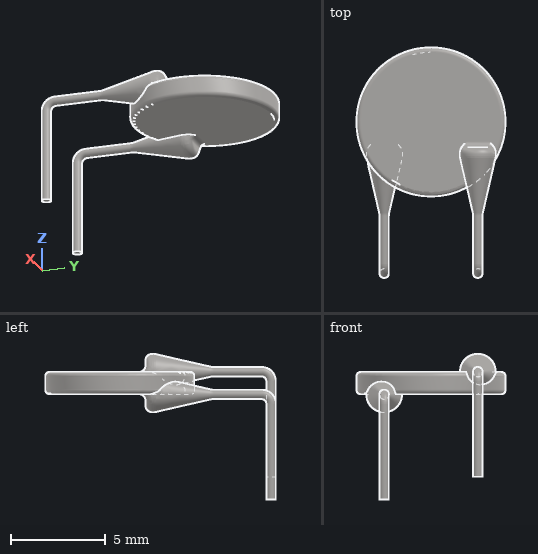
import cadquery as cq

disc_diameter = 7.9
disc_thickness = 1.2
disc_edge_radius = 0.25

wire_diameter = 0.51
lead_pitch = 4.95
leg_y = -8.0
bend_radius = 0.5
leg_length = 5.56

bulb_radius = 0.95
bulb_back_y = -1.35
bulb_shoulder_y = -1.86
bulb_tip_y = -4.88
bulb_back_rounding = 0.36
bulb_shoulder_rounding = 0.4
bulb_tip_rounding = 0.55
bulb_foot_radius = 0.31

seat_depth = 0.5
seat_length = 0.2
joint_clearance = 0.05

half_thickness = disc_thickness / 2
wire_radius = wire_diameter / 2
bend_start_y = leg_y + bend_radius
joint_y = bulb_back_y - bulb_back_rounding - joint_clearance
foot_y = bulb_back_y + bulb_foot_radius
seat_end_y = foot_y + seat_length


def make_disc():
    disc = (
        cq.Workplane("XY", origin=(0, 0, -half_thickness))
        .circle(disc_diameter / 2)
        .extrude(disc_thickness)
    )
    return disc.edges().fillet(disc_edge_radius)


def ring_at(y):
    """Selector for the circular edge, centred on the Y axis, in the plane at y."""
    margin = 0.01
    reach = 2 * bulb_radius
    lower = (-reach, y - margin, -reach)
    upper = (reach, y + margin, reach)
    return cq.selectors.BoxSelector(lower, upper, boundingbox=True)


def make_cone_and_straight_wire():
    body = (
        cq.Workplane("XY")
        .moveTo(0, joint_y)
        .lineTo(bulb_radius, joint_y)
        .lineTo(bulb_radius, bulb_shoulder_y)
        .lineTo(wire_radius, bulb_tip_y)
        .lineTo(wire_radius, bend_start_y)
        .lineTo(0, bend_start_y)
        .close()
        .revolve(360, (0, 0), (0, 1))
    )
    body = body.edges(ring_at(bulb_shoulder_y)).fillet(bulb_shoulder_rounding)
    return body.edges(ring_at(bulb_tip_y)).fillet(bulb_tip_rounding)


def make_bulb_back():
    arch = (
        cq.Workplane("XZ", origin=(0, joint_y, 0))
        .moveTo(-bulb_radius, -seat_depth)
        .lineTo(bulb_radius, -seat_depth)
        .lineTo(bulb_radius, 0)
        .radiusArc((-bulb_radius, 0), -bulb_radius)
        .close()
        .extrude(joint_y - seat_end_y)
    )
    side_outline = (
        cq.Workplane("YZ")
        .moveTo(joint_y, -seat_depth)
        .lineTo(seat_end_y, -seat_depth)
        .lineTo(seat_end_y, 0)
        .lineTo(foot_y, 0)
        .radiusArc((bulb_back_y, bulb_foot_radius), bulb_foot_radius)
        .lineTo(bulb_back_y, 2 * bulb_radius)
        .lineTo(joint_y, 2 * bulb_radius)
        .close()
        .extrude(2 * bulb_radius, both=True)
    )
    back = arch.intersect(side_outline)
    rim_point = (0, bulb_back_y, bulb_radius)
    return back.edges(cq.selectors.NearestToPointSelector(rim_point)).fillet(bulb_back_rounding)


def make_bend_and_leg():
    path = (
        cq.Workplane("YZ")
        .moveTo(bend_start_y, 0)
        .radiusArc((leg_y, -bend_radius), -bend_radius)
        .lineTo(leg_y, -leg_length)
    )
    return cq.Workplane("XZ", origin=(0, bend_start_y, 0)).circle(wire_radius).sweep(path)


upper_back = make_bulb_back()
lower_back = upper_back.rotate((0, 0, 0), (0, 1, 0), 180)
cone_and_wire = make_cone_and_straight_wire()
bend_and_leg = make_bend_and_leg()

result = make_disc()
for side, bulb_back in ((-1, lower_back), (1, upper_back)):
    lead = cone_and_wire.union(bulb_back).union(bend_and_leg)
    result = result.union(lead.translate((side * lead_pitch / 2, 0, side * half_thickness)))